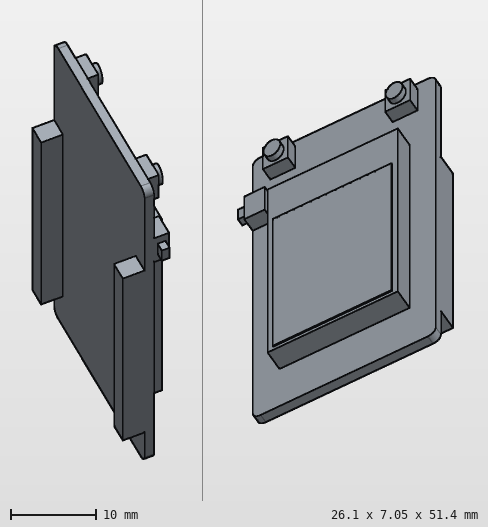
import cadquery as cq

BOARD_WIDTH = 24.9
BOARD_HEIGHT = 51.4
BOARD_THICKNESS = 1.25
CORNER_RADIUS = 1.1

RAIL_WIDTH = 2.4
RAIL_DEPTH = 2.85
RAIL_LENGTH = 30.8
RAIL_BOTTOM = 5.75

DISPLAY_LEFT = 3.55
DISPLAY_WIDTH = 17.7
DISPLAY_BOTTOM = 7.4
DISPLAY_HEIGHT = 32.5
DISPLAY_DEPTH = 2.8
SCREEN_LEFT = 4.3
SCREEN_WIDTH = 16.15
SCREEN_BOTTOM = 8.0
SCREEN_HEIGHT = 25.3
SCREEN_DEPTH = 0.15

BUTTON_CENTERS_X = (4.15, 20.75)
BUTTON_CENTER_Z = 48.15
BUTTON_WIDTH = 3.4
BUTTON_HEIGHT = 4.25
BUTTON_DEPTH = 1.75
CAP_WIDTH = 2.25
CAP_HEIGHT = 3.05
CAP_DEPTH = 0.8

SWITCH_CENTER_Z = 39.75
SWITCH_WIDTH = 2.8
SWITCH_HEIGHT = 4.5
SWITCH_DEPTH = 1.95
LEVER_OVERHANG = 1.15
LEVER_HEIGHT = 1.95
LEVER_DEPTH = 1.05
LEVER_OFFSET = 0.45

BACK = BOARD_THICKNESS


def block(left, front, bottom, width, depth, height):
    """Box placed by its lowest X, Y and Z corner."""
    return cq.Workplane("XY").box(width, depth, height, centered=False).translate((left, front, bottom))


def make_board():
    board = block(0, 0, 0, BOARD_WIDTH, BOARD_THICKNESS, BOARD_HEIGHT)
    return board.edges("|Y").fillet(CORNER_RADIUS)


def make_rail(left):
    return block(left, -RAIL_DEPTH, RAIL_BOTTOM, RAIL_WIDTH, RAIL_DEPTH, RAIL_LENGTH)


def make_display():
    body = block(DISPLAY_LEFT, BACK, DISPLAY_BOTTOM, DISPLAY_WIDTH, DISPLAY_DEPTH, DISPLAY_HEIGHT)
    screen = block(
        SCREEN_LEFT, BACK + DISPLAY_DEPTH, SCREEN_BOTTOM,
        SCREEN_WIDTH, SCREEN_DEPTH, SCREEN_HEIGHT,
    )
    return body.union(screen)


def make_button(center_x):
    base = block(
        center_x - BUTTON_WIDTH / 2, BACK, BUTTON_CENTER_Z - BUTTON_HEIGHT / 2,
        BUTTON_WIDTH, BUTTON_DEPTH, BUTTON_HEIGHT,
    )
    cap = (
        cq.Workplane("XZ", origin=(center_x, BACK + BUTTON_DEPTH, BUTTON_CENTER_Z))
        .ellipse(CAP_WIDTH / 2, CAP_HEIGHT / 2)
        .extrude(-CAP_DEPTH)
    )
    return base.union(cap)


def make_switch():
    body = block(
        BOARD_WIDTH - SWITCH_WIDTH, BACK, SWITCH_CENTER_Z - SWITCH_HEIGHT / 2,
        SWITCH_WIDTH, SWITCH_DEPTH, SWITCH_HEIGHT,
    )
    lever = block(
        BOARD_WIDTH - SWITCH_WIDTH / 2, BACK + LEVER_OFFSET, SWITCH_CENTER_Z - LEVER_HEIGHT / 2,
        SWITCH_WIDTH / 2 + LEVER_OVERHANG, LEVER_DEPTH, LEVER_HEIGHT,
    )
    return body.union(lever)


result = make_board()
result = result.union(make_rail(0))
result = result.union(make_rail(BOARD_WIDTH - RAIL_WIDTH))
result = result.union(make_display())
for button_x in BUTTON_CENTERS_X:
    result = result.union(make_button(button_x))
result = result.union(make_switch())